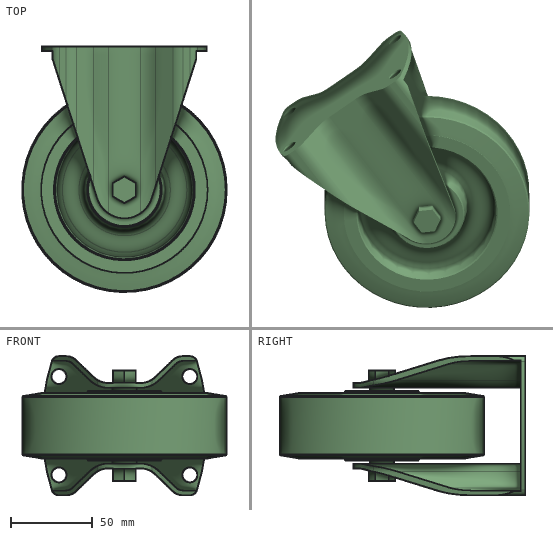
import cadquery as cq
import math


WHEEL_RADIUS = 125.0 / 2
TREAD_HALF_WIDTH = 17.4
TREAD_EDGE = 0.8
RIM_RADIUS = 101.5 / 2
RIM_HALF_WIDTH = 20.2
RIM_STEP = 0.3
POCKET_RADIUS = 43.0
POCKET_LIP = 0.8
POCKET_BASE_RADIUS = 41.0
WEB_HALF_WIDTH = 3.8
WEB_FILLET = 3.0
HUB_RADIUS = 22.8
HUB_BASE_RADIUS = 24.9
HUB_HALF_WIDTH = 21.3
HUB_EDGE = 0.8

SHEET = 3.0
FORK_LENGTH = 150 - WHEEL_RADIUS
FORK_HALF_HEIGHT = 85.0 / 2
SADDLE_HALF_HEIGHT = 26.1
SADDLE_HALF_WIDTH = 9.8
VALLEY_RADIUS = 13.2
CREST_RADIUS = 9.0
SLOPE_ANGLE = math.radians(44)
LEG_HALF_WIDTH = 44.0
PLATE_END_HALF_WIDTH = 43.2
CORNER_RADIUS = 4.8
PLATE_HALF_WIDTH = 50.4
TIP_RADIUS = 17.4
TAPER_ANGLE = math.radians(17.8)

HOLE_DIAMETER = 9.0
HOLE_X = 39.9
HOLE_Z = 30.0
AXLE_DIAMETER = 15.0
HEX_FLATS = 14.1
HEX_HALF_LENGTH = 33.8


def make_wheel():
    half = (
        cq.Workplane("XZ")
        .lineTo(WHEEL_RADIUS, 0)
        .lineTo(WHEEL_RADIUS, TREAD_HALF_WIDTH)
        .lineTo(WHEEL_RADIUS - TREAD_EDGE, TREAD_HALF_WIDTH + TREAD_EDGE)
        .lineTo(RIM_RADIUS, RIM_HALF_WIDTH - RIM_STEP)
        .lineTo(RIM_RADIUS, RIM_HALF_WIDTH)
        .lineTo(POCKET_RADIUS, RIM_HALF_WIDTH)
        .lineTo(POCKET_RADIUS - POCKET_LIP, RIM_HALF_WIDTH - POCKET_LIP)
        .lineTo(POCKET_BASE_RADIUS, WEB_HALF_WIDTH + WEB_FILLET)
        .radiusArc((POCKET_BASE_RADIUS - WEB_FILLET, WEB_HALF_WIDTH), WEB_FILLET)
        .lineTo(HUB_BASE_RADIUS + WEB_FILLET, WEB_HALF_WIDTH)
        .radiusArc((HUB_BASE_RADIUS, WEB_HALF_WIDTH + WEB_FILLET), WEB_FILLET)
        .lineTo(HUB_RADIUS, HUB_HALF_WIDTH - HUB_EDGE)
        .lineTo(HUB_RADIUS - HUB_EDGE, HUB_HALF_WIDTH)
        .lineTo(0, HUB_HALF_WIDTH)
        .close()
        .revolve(360, (0, 0), (0, 1))
    )
    return half.union(half.rotate((0, 0, 0), (1, 0, 0), 180))


def saddle_profile(inset):
    """Region below the upper saddle curve, moved inwards by inset, in X and Z."""
    valley = VALLEY_RADIUS + inset
    crest = CREST_RADIUS - inset
    low = SADDLE_HALF_HEIGHT - inset
    high = FORK_HALF_HEIGHT - inset
    sin, cos = math.sin(SLOPE_ANGLE), math.cos(SLOPE_ANGLE)

    arc_rise = (VALLEY_RADIUS + CREST_RADIUS) * (1 - cos)
    slope_run = (FORK_HALF_HEIGHT - SADDLE_HALF_HEIGHT - arc_rise) / math.tan(SLOPE_ANGLE)
    crest_x = SADDLE_HALF_WIDTH + (VALLEY_RADIUS + CREST_RADIUS) * sin + slope_run

    valley_end = (SADDLE_HALF_WIDTH + valley * sin, low + valley * (1 - cos))
    crest_start = (crest_x - crest * sin, high - crest * (1 - cos))
    half = (
        cq.Workplane("XZ", origin=(0, -TIP_RADIUS, 0))
        .lineTo(0, low)
        .lineTo(SADDLE_HALF_WIDTH, low)
        .radiusArc(valley_end, -valley)
        .lineTo(*crest_start)
        .radiusArc((crest_x, high), crest)
        .lineTo(PLATE_HALF_WIDTH, high)
        .lineTo(PLATE_HALF_WIDTH, 0)
        .close()
        .extrude(-FORK_LENGTH - TIP_RADIUS)
    )
    return half.union(half.mirror("YZ"))


def side_outline():
    """Outline with bowed sides and rounded corners, extruded along the fork."""
    outline = (
        cq.Workplane("XZ", origin=(0, -TIP_RADIUS, 0))
        .moveTo(-PLATE_END_HALF_WIDTH, FORK_HALF_HEIGHT)
        .lineTo(PLATE_END_HALF_WIDTH, FORK_HALF_HEIGHT)
        .threePointArc((PLATE_HALF_WIDTH, 0), (PLATE_END_HALF_WIDTH, -FORK_HALF_HEIGHT))
        .lineTo(-PLATE_END_HALF_WIDTH, -FORK_HALF_HEIGHT)
        .threePointArc((-PLATE_HALF_WIDTH, 0), (-PLATE_END_HALF_WIDTH, FORK_HALF_HEIGHT))
        .close()
        .extrude(-FORK_LENGTH - TIP_RADIUS)
    )
    return outline.edges("|Y").fillet(CORNER_RADIUS)


def leg_outline():
    """Tapered leg shape with a round tip, extruded along the axle."""
    tangent_x = TIP_RADIUS * math.cos(TAPER_ANGLE)
    tangent_y = -TIP_RADIUS * math.sin(TAPER_ANGLE)
    shoulder_y = tangent_y + (LEG_HALF_WIDTH - tangent_x) / math.tan(TAPER_ANGLE)
    return (
        cq.Workplane("XY")
        .moveTo(-LEG_HALF_WIDTH, FORK_LENGTH)
        .lineTo(LEG_HALF_WIDTH, FORK_LENGTH)
        .lineTo(LEG_HALF_WIDTH, shoulder_y)
        .lineTo(tangent_x, tangent_y)
        .threePointArc((0, -TIP_RADIUS), (-tangent_x, tangent_y))
        .lineTo(-LEG_HALF_WIDTH, shoulder_y)
        .close()
        .extrude(FORK_HALF_HEIGHT)
    )


def make_fork():
    sides = side_outline()
    outer = saddle_profile(0)
    leg = outer.cut(saddle_profile(SHEET)).intersect(leg_outline()).intersect(sides)

    plate_slab = (
        cq.Workplane("XY")
        .box(2 * PLATE_HALF_WIDTH, SHEET, FORK_HALF_HEIGHT, centered=(True, False, False))
        .translate((0, FORK_LENGTH - SHEET, 0))
    )
    half_plate = plate_slab.intersect(outer).intersect(sides)
    half_fork = leg.union(half_plate)
    fork = half_fork.union(half_fork.mirror("XY"))

    holes = (
        cq.Workplane("XZ", origin=(0, FORK_LENGTH, 0))
        .rect(2 * HOLE_X, 2 * HOLE_Z, forConstruction=True)
        .vertices()
        .circle(HOLE_DIAMETER / 2)
        .extrude(SHEET)
    )
    return fork.cut(holes)


def make_axle():
    leg_inner_z = SADDLE_HALF_HEIGHT - SHEET
    spacer = cq.Workplane("XY").circle(AXLE_DIAMETER / 2).extrude(leg_inner_z, both=True)
    hex_corners = HEX_FLATS / math.cos(math.pi / 6)
    head = (
        cq.Workplane("XY", origin=(0, 0, leg_inner_z))
        .polygon(6, hex_corners)
        .extrude(HEX_HALF_LENGTH - leg_inner_z)
        .rotate((0, 0, 0), (0, 0, 1), 30)
    )
    return spacer.union(head).union(head.mirror("XY"))


result = make_wheel().union(make_fork()).union(make_axle())